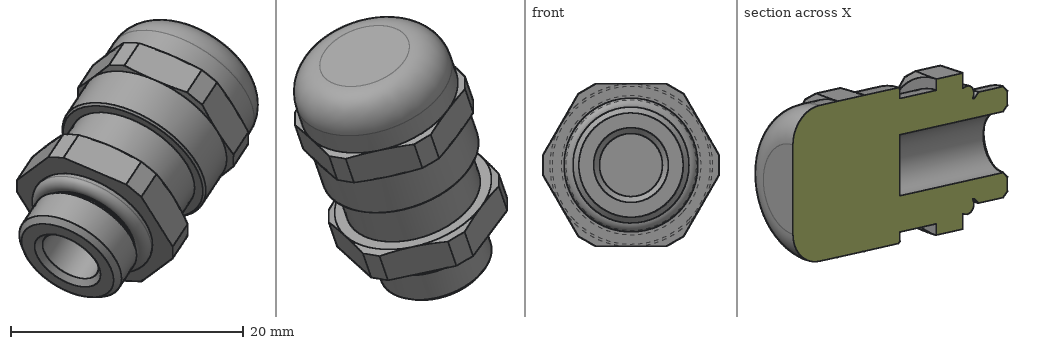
import cadquery as cq
import math


thread_end = 3.26
body_hex_start = 5.0
body_hex_end = 8.0
sleeve_start = 12.0
nut_hex_start = 16.0
nut_hex_end = 19.0
total_length = 24.0

across_flats = 14.0
across_trimmed_corners = 15.17
corner_to_corner = across_flats / math.cos(math.pi / 6)
corner_flat_half_width = (corner_to_corner - across_trimmed_corners) / 2 * math.tan(math.pi / 3)
bevel_inner_radius = across_flats / 2
bevel_outer_radius = math.hypot(across_trimmed_corners / 2, corner_flat_half_width)
body_hex_bevel = 0.25
nut_hex_bevel = 0.15

thread_radius = 5.0
thread_chamfer = 0.5
groove_radius = 4.5
neck_radius = 6.0
sleeve_radius = across_flats / 2
sleeve_chamfer = 0.2
dome_radius = 3.0

ring_outer_radius = 5.75
ring_section_radius = 0.8
ring_centre_offset = 0.45

bore_radius = 2.7
bore_chamfer = 0.5
bore_depth = sleeve_start


def revolve_about_y(profile):
    """Turn a closed XY profile (X is the radius) about the Y axis."""
    return profile.close().revolve(360, (0, 0, 0), (0, 1, 0))


def trimmed_hexagon(start, end):
    """Hexagonal prism from start to end along Y, with its six corners cut flat."""
    length = end - start
    plane = cq.Workplane("XZ", origin=(0, end, 0))
    prism = plane.polygon(6, corner_to_corner).extrude(length)
    trim_to_corner = across_trimmed_corners / math.cos(math.pi / 6)
    trim = plane.transformed(rotate=(0, 0, 30)).polygon(6, trim_to_corner).extrude(length)
    return prism.intersect(trim)


def bevel_envelope(start, end, bevel):
    """Turned envelope that bevels the hexagon corners at both ends by a length along Y."""
    profile = (
        cq.Workplane("XY")
        .moveTo(0, start)
        .lineTo(bevel_inner_radius, start)
        .lineTo(bevel_outer_radius, start + bevel)
        .lineTo(bevel_outer_radius, end - bevel)
        .lineTo(bevel_inner_radius, end)
        .lineTo(0, end)
    )
    return revolve_about_y(profile)


def body_hexagon():
    """Hexagon bevelled on the neck side only; its other face stays flat for the ring."""
    prism = trimmed_hexagon(body_hex_start, body_hex_end)
    envelope_start = body_hex_start - body_hex_bevel
    return prism.intersect(bevel_envelope(envelope_start, body_hex_end, body_hex_bevel))


def nut_hexagon():
    prism = trimmed_hexagon(nut_hex_start, nut_hex_end)
    return prism.intersect(bevel_envelope(nut_hex_start, nut_hex_end, nut_hex_bevel))


def turned_body():
    """Thread, groove, neck, sleeve and domed cap as one revolved outline."""
    groove_start = thread_end + thread_radius - groove_radius
    dome_start = total_length - dome_radius
    dome_mid = dome_radius * math.sqrt(0.5)
    flat_radius = sleeve_radius - dome_radius
    profile = (
        cq.Workplane("XY")
        .lineTo(thread_radius - thread_chamfer, 0)
        .lineTo(thread_radius, thread_chamfer)
        .lineTo(thread_radius, thread_end)
        .lineTo(groove_radius, groove_start)
        .lineTo(groove_radius, body_hex_start)
        .lineTo(neck_radius, body_hex_start)
        .lineTo(neck_radius, sleeve_start)
        .lineTo(sleeve_radius - sleeve_chamfer, sleeve_start)
        .lineTo(sleeve_radius, sleeve_start + sleeve_chamfer)
        .lineTo(sleeve_radius, dome_start)
        .threePointArc((flat_radius + dome_mid, dome_start + dome_mid), (flat_radius, total_length))
        .lineTo(0, total_length)
    )
    return revolve_about_y(profile)


def sealing_ring():
    centre_radius = ring_outer_radius - ring_section_radius
    centre_station = body_hex_start - ring_centre_offset
    section = cq.Workplane("XY").moveTo(centre_radius, centre_station).circle(ring_section_radius)
    return section.revolve(360, (0, 0, 0), (0, 1, 0))


def bore():
    profile = (
        cq.Workplane("XY")
        .lineTo(bore_radius + bore_chamfer, 0)
        .lineTo(bore_radius, bore_chamfer)
        .lineTo(bore_radius, bore_depth)
        .lineTo(0, bore_depth)
    )
    return revolve_about_y(profile)


result = (
    turned_body()
    .union(body_hexagon())
    .union(nut_hexagon())
    .union(sealing_ring())
    .cut(bore())
)